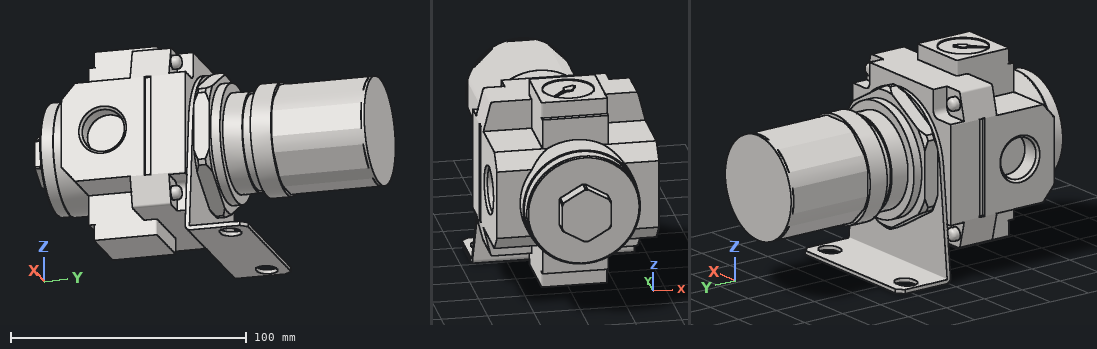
import cadquery as cq
import math


BODY_HALF = 35.0
CORE_HALF_HEIGHT = 21.9
BODY_BACK_Y = 36.5
SHOULDER_FRONT_Y = 12.2
COLUMN_FRONT_Y = -12.3
BODY_FRONT_Y = -18.2
CORE_FRONT_HALF_HEIGHT = 15.1
SHOULDER_TOP_HALF_WIDTH = 31.7
SHOULDER_FILLET = 1.2
GROOVE_BACK_Y = 21.2
GROOVE_FRONT_Y = 18.5
GROOVE_DEPTH = 1.5

POCKET_FRONT_Y = 29.3
POCKET_INNER = 22.6
POCKET_FILLET = 3.3
SCREW_OFFSET = 29.1
SCREW_DIAMETER = 6.0
SCREW_HEIGHT = 3.7
SCREW_HEAD_FILLET = 1.8

PORT_DIAMETER = 18.63
PORT_MOUTH_DIAMETER = 20.955
PORT_DEPTH = 9.0

GAUGE_WIDTH = 28.4
GAUGE_BACK_Y = 17.9
GAUGE_FRONT_Y = -10.1
GAUGE_TOP = 42.0
GAUGE_EDGE_FILLET = 0.8
DIAL_DIAMETER = 22.0
DIAL_DEPTH = 0.5
HUB_DIAMETER = 4.2
NEEDLE_LENGTH = 10.2
NEEDLE_BASE_WIDTH = 1.8
NEEDLE_TAIL_LENGTH = 4.2
NEEDLE_TAIL_WIDTH = 1.3
NEEDLE_ANGLE = 225.0

BOWL_DIAMETER = 50.0
BOWL_STEP_Y = -24.9
CAP_DIAMETER = 49.0
CAP_FRONT_Y = -31.0
CAP_CHAMFER = 0.6
PLUG_FRONT_Y = -37.3
PLUG_ACROSS_FLATS = 21.2
PLUG_TURNED_DIAMETER = 24.0
PLUG_CHAMFER = 0.3

PLATE_THICKNESS = 1.9
PLATE_RADIUS = 30.0
FOOT_BOTTOM_Z = -48.2
FOOT_BACK_Y = 63.5
FOOT_CORNER = 2.9
BEND_INNER_RADIUS = 0.4
SLOT_LENGTH = 10.8
SLOT_WIDTH = 8.8
SLOT_X = 27.0
SLOT_Y = 54.2

NUT_BACK_Y = 45.1
NUT_ACROSS_FLATS = 56.4
NUT_TURNED_DIAMETER = 63.7
NUT_CHAMFER = 1.7

FLANGE_DIAMETER = 52.0
FLANGE_BACK_Y = 49.2
LOWER_NECK_DIAMETER = 43.5
LOWER_NECK_BACK_Y = 57.7
UPPER_NECK_DIAMETER = 41.5
RING_DIAMETER = 49.0
RING_FRONT_Y = 62.2
RING_BACK_Y = 71.2
KNOB_DIAMETER = 47.0
KNOB_BACK_Y = 112.2
KNOB_LIP = 1.4
KNOB_FLAT_COUNT = 8
KNOB_FLAT_DISTANCE = 22.8

PLATE_BACK_Y = BODY_BACK_Y + PLATE_THICKNESS
FOOT_TOP_Z = FOOT_BOTTOM_Z + PLATE_THICKNESS
PLATE_WIDE_Z = FOOT_TOP_Z + BEND_INNER_RADIUS


def profile_at(y):
    """Workplane across the long axis at y: local x is X, local y is Z, normal is -Y."""
    return cq.Workplane("XZ", origin=(0, y, 0))


def cylinder(diameter, front_y, back_y):
    return profile_at(back_y).circle(diameter / 2).extrude(back_y - front_y)


def box_between(x0, x1, y0, y1, z0, z1):
    return cq.Workplane("XY").box(x1 - x0, y1 - y0, z1 - z0, centered=False).translate((x0, y0, z0))


def hexagon_and_blank(across_flats, turned_diameter, front_y, back_y):
    """Hexagonal prism with corners on +Z and -Z, and the round blank that trims its corners."""
    corner_radius = across_flats / math.sqrt(3)
    corners = []
    for i in range(6):
        angle = math.radians(90 + 60 * i)
        corners.append((corner_radius * math.cos(angle), corner_radius * math.sin(angle)))
    prism = profile_at(back_y).polyline(corners).close().extrude(back_y - front_y)
    return prism, cylinder(turned_diameter, front_y, back_y)


def make_shoulder():
    outline = [
        (BODY_HALF, -CORE_HALF_HEIGHT),
        (BODY_HALF, CORE_HALF_HEIGHT),
        (SHOULDER_TOP_HALF_WIDTH, BODY_HALF),
        (-SHOULDER_TOP_HALF_WIDTH, BODY_HALF),
        (-BODY_HALF, CORE_HALF_HEIGHT),
        (-BODY_HALF, -CORE_HALF_HEIGHT),
        (-SHOULDER_TOP_HALF_WIDTH, -BODY_HALF),
        (SHOULDER_TOP_HALF_WIDTH, -BODY_HALF),
    ]
    length = BODY_BACK_Y - SHOULDER_FRONT_Y
    shoulder = profile_at(BODY_BACK_Y).polyline(outline).close().extrude(length)
    long_edges = shoulder.faces(">Z or <Z").edges("|Y")
    return long_edges.fillet(SHOULDER_FILLET)


def make_port_block():
    outline = [
        (SHOULDER_FRONT_Y, CORE_HALF_HEIGHT),
        (COLUMN_FRONT_Y, CORE_HALF_HEIGHT),
        (BODY_FRONT_Y, CORE_FRONT_HALF_HEIGHT),
        (BODY_FRONT_Y, -CORE_FRONT_HALF_HEIGHT),
        (COLUMN_FRONT_Y, -CORE_HALF_HEIGHT),
        (SHOULDER_FRONT_Y, -CORE_HALF_HEIGHT),
    ]
    return cq.Workplane("YZ").polyline(outline).close().extrude(BODY_HALF, both=True)


def make_gauge_column():
    half = GAUGE_WIDTH / 2
    column = box_between(-half, half, COLUMN_FRONT_Y, SHOULDER_FRONT_Y, -BODY_HALF, BODY_HALF)
    gauge = box_between(-half, half, GAUGE_FRONT_Y, GAUGE_BACK_Y, -GAUGE_TOP, GAUGE_TOP)
    return column.union(gauge.edges("|Z").fillet(GAUGE_EDGE_FILLET))


def make_dial_recess():
    """Shallow round recess around the raised hub, needle and needle tail."""
    center_y = (GAUGE_FRONT_Y + GAUGE_BACK_Y) / 2
    floor = cq.Workplane("XY")
    recess = floor.circle(DIAL_DIAMETER / 2).extrude(DIAL_DEPTH)
    hub = floor.circle(HUB_DIAMETER / 2).extrude(DIAL_DEPTH)
    needle_outline = [
        (0, -NEEDLE_BASE_WIDTH / 2),
        (NEEDLE_LENGTH, 0),
        (0, NEEDLE_BASE_WIDTH / 2),
    ]
    needle = floor.polyline(needle_outline).close().extrude(DIAL_DEPTH)
    tail_outline = [
        (0, -HUB_DIAMETER / 2),
        (0, HUB_DIAMETER / 2),
        (-NEEDLE_TAIL_LENGTH, NEEDLE_TAIL_WIDTH / 2),
        (-NEEDLE_TAIL_LENGTH, -NEEDLE_TAIL_WIDTH / 2),
    ]
    tail = floor.polyline(tail_outline).close().extrude(DIAL_DEPTH)
    pointer = hub.union(needle).union(tail)
    pointer = pointer.rotate((0, 0, 0), (0, 0, 1), NEEDLE_ANGLE)
    return recess.cut(pointer).translate((0, center_y, GAUGE_TOP - DIAL_DEPTH))


def cut_side_grooves(body):
    for x0 in (-BODY_HALF, BODY_HALF - GROOVE_DEPTH):
        groove = box_between(x0, x0 + GROOVE_DEPTH, GROOVE_FRONT_Y, GROOVE_BACK_Y,
                             -CORE_HALF_HEIGHT, CORE_HALF_HEIGHT)
        body = body.cut(groove)
    return body


def cut_ports(body):
    mouth_chamfer = (PORT_MOUTH_DIAMETER - PORT_DIAMETER) / 2
    port_outline = [
        (0, BODY_HALF),
        (PORT_MOUTH_DIAMETER / 2, BODY_HALF),
        (PORT_DIAMETER / 2, BODY_HALF - mouth_chamfer),
        (PORT_DIAMETER / 2, BODY_HALF - PORT_DEPTH),
        (0, BODY_HALF - PORT_DEPTH),
    ]
    port = cq.Workplane("XZ").polyline(port_outline).close().revolve(360, (0, 0), (0, 1))
    for angle in (90, -90):
        body = body.cut(port.rotate((0, 0, 0), (0, 1, 0), angle))
    return body


def add_corner_pockets(body):
    for x_sign in (-1, 1):
        for z_sign in (-1, 1):
            pocket = box_between(POCKET_INNER, BODY_HALF, POCKET_FRONT_Y, BODY_BACK_Y,
                                 POCKET_INNER, BODY_HALF)
            pocket = pocket.edges("|Y and <X and <Z").fillet(POCKET_FILLET)
            screw = cylinder(SCREW_DIAMETER, POCKET_FRONT_Y, POCKET_FRONT_Y + SCREW_HEIGHT)
            screw = screw.faces(">Y").edges().fillet(SCREW_HEAD_FILLET)
            screw = screw.translate((SCREW_OFFSET, 0, SCREW_OFFSET))
            if x_sign < 0:
                pocket = pocket.mirror("YZ")
                screw = screw.mirror("YZ")
            if z_sign < 0:
                pocket = pocket.mirror("XY")
                screw = screw.mirror("XY")
            body = body.cut(pocket).union(screw)
    return body


def make_body():
    body = make_shoulder().union(make_port_block()).union(make_gauge_column())
    body = cut_side_grooves(body)
    body = cut_ports(body)
    body = add_corner_pockets(body)
    return body.cut(make_dial_recess())


def make_bowl():
    bowl = cylinder(BOWL_DIAMETER, BOWL_STEP_Y, COLUMN_FRONT_Y)
    cap = cylinder(CAP_DIAMETER, CAP_FRONT_Y, BOWL_STEP_Y).faces("<Y").chamfer(CAP_CHAMFER)
    prism, blank = hexagon_and_blank(
        PLUG_ACROSS_FLATS, PLUG_TURNED_DIAMETER, PLUG_FRONT_Y, CAP_FRONT_Y
    )
    plug = prism.intersect(blank.faces("<Y").chamfer(PLUG_CHAMFER))
    return bowl.union(cap).union(plug)


def make_bracket():
    """L-shaped bracket: a round-topped plate, tangent flanks and a slotted foot."""
    corner_distance = math.hypot(BODY_HALF, PLATE_WIDE_Z)
    corner_angle = math.atan2(PLATE_WIDE_Z, BODY_HALF)
    tangent_angle = corner_angle + math.acos(PLATE_RADIUS / corner_distance)
    tangent_x = PLATE_RADIUS * math.cos(tangent_angle)
    tangent_z = PLATE_RADIUS * math.sin(tangent_angle)
    plate = (
        profile_at(PLATE_BACK_Y)
        .moveTo(-BODY_HALF, FOOT_BOTTOM_Z)
        .lineTo(BODY_HALF, FOOT_BOTTOM_Z)
        .lineTo(BODY_HALF, PLATE_WIDE_Z)
        .lineTo(tangent_x, tangent_z)
        .threePointArc((0, PLATE_RADIUS), (-tangent_x, tangent_z))
        .lineTo(-BODY_HALF, PLATE_WIDE_Z)
        .close()
        .extrude(PLATE_THICKNESS)
    )
    foot = box_between(-BODY_HALF, BODY_HALF, BODY_BACK_Y, FOOT_BACK_Y, FOOT_BOTTOM_Z, FOOT_TOP_Z)
    foot = foot.edges("|Z and >Y").chamfer(FOOT_CORNER)
    slots = (
        cq.Workplane("XY", origin=(0, SLOT_Y, FOOT_BOTTOM_Z))
        .pushPoints([(-SLOT_X, 0), (SLOT_X, 0)])
        .slot2D(SLOT_LENGTH, SLOT_WIDTH)
        .extrude(PLATE_THICKNESS)
    )
    bracket = plate.union(foot.cut(slots))
    inner_bend = cq.NearestToPointSelector((0, PLATE_BACK_Y, FOOT_TOP_Z))
    bracket = bracket.edges("|X").edges(inner_bend).fillet(BEND_INNER_RADIUS)
    outer_bend = cq.NearestToPointSelector((0, BODY_BACK_Y, FOOT_BOTTOM_Z))
    return bracket.edges("|X").edges(outer_bend).fillet(BEND_INNER_RADIUS + PLATE_THICKNESS)


def make_nut():
    prism, blank = hexagon_and_blank(NUT_ACROSS_FLATS, NUT_TURNED_DIAMETER, PLATE_BACK_Y, NUT_BACK_Y)
    return prism.intersect(blank.faces("<Y or >Y").chamfer(NUT_CHAMFER))


def make_neck():
    flange = cylinder(FLANGE_DIAMETER, NUT_BACK_Y, FLANGE_BACK_Y)
    lower_neck = cylinder(LOWER_NECK_DIAMETER, FLANGE_BACK_Y, LOWER_NECK_BACK_Y)
    upper_neck = cylinder(UPPER_NECK_DIAMETER, LOWER_NECK_BACK_Y, RING_FRONT_Y)
    return flange.union(lower_neck).union(upper_neck)


def make_knob():
    ring = cylinder(RING_DIAMETER, RING_FRONT_Y, RING_BACK_Y)
    knob = cylinder(KNOB_DIAMETER, RING_BACK_Y, KNOB_BACK_Y)
    radius = KNOB_DIAMETER / 2
    flat_cut = box_between(-radius, radius, RING_BACK_Y, KNOB_BACK_Y - KNOB_LIP,
                           KNOB_FLAT_DISTANCE, radius)
    for i in range(KNOB_FLAT_COUNT):
        knob = knob.cut(flat_cut.rotate((0, 0, 0), (0, 1, 0), 360 / KNOB_FLAT_COUNT * i))
    return ring.union(knob)


result = make_body()
for section in (make_bowl(), make_bracket(), make_nut(), make_neck(), make_knob()):
    result = result.union(section)